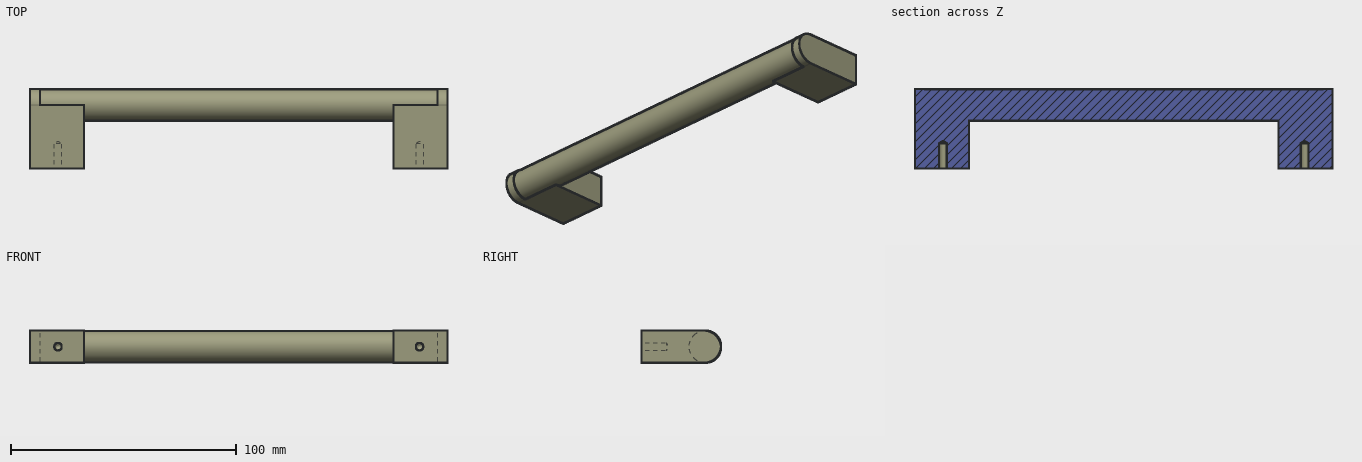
import cadquery as cq
import math

length = 185.0
depth = 35.3
thickness = 14.5
foot_width = 24.0
grip_diameter = 14.0
end_cap = 4.6
hole_spacing = 160.0
hole_diameter = 3.3
hole_depth = 11.1
drill_point_angle = 118.0

radius = thickness / 2
grip_y = depth - radius


def make_grip():
    """Round bar, slightly slimmer than the feet, running the full length."""
    return (
        cq.Workplane("YZ", origin=(-length / 2, 0, 0))
        .center(grip_y, 0)
        .circle(grip_diameter / 2)
        .extrude(length)
    )


def make_foot_block(start_x):
    """Flat-sided block from the mounting face to the grip axis."""
    return (
        cq.Workplane("YZ", origin=(start_x, 0, 0))
        .center(grip_y / 2, 0)
        .rect(grip_y, thickness)
        .extrude(foot_width)
    )


def make_end_cap(start_x):
    """Half-round back of a foot, covering the outer end of the grip."""
    return (
        cq.Workplane("YZ", origin=(start_x, 0, 0))
        .moveTo(grip_y, -radius)
        .threePointArc((depth, 0), (grip_y, radius))
        .close()
        .extrude(end_cap)
    )


def make_screw_hole(center_x):
    """Blind screw hole with a drill point, entering from the mounting face."""
    hole_radius = hole_diameter / 2
    tip_length = hole_radius / math.tan(math.radians(drill_point_angle / 2))
    return (
        cq.Workplane("XY", origin=(center_x, 0, 0))
        .lineTo(hole_radius, 0)
        .lineTo(hole_radius, hole_depth)
        .lineTo(0, hole_depth + tip_length)
        .close()
        .revolve(360, (0, 0, 0), (0, 1, 0))
    )


result = make_grip()
for foot_start in (-length / 2, length / 2 - foot_width):
    result = result.union(make_foot_block(foot_start))
for cap_start in (-length / 2, length / 2 - end_cap):
    result = result.union(make_end_cap(cap_start))
for hole_x in (-hole_spacing / 2, hole_spacing / 2):
    result = result.cut(make_screw_hole(hole_x))